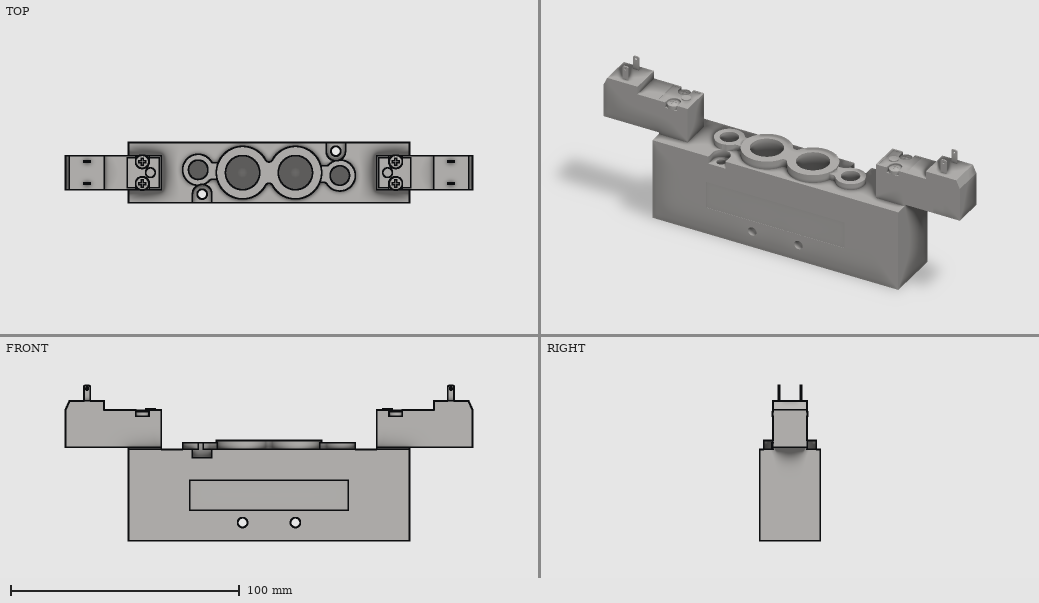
import cadquery as cq
import math

housing_length = 123.0
housing_width = 26.5
housing_height = 40.0

seat_height = 0.9

main_port_x = 11.55
main_rim_dia = 23.0
main_bore_dia = 15.0
main_rim_height = 4.0
main_waist_radius = 1.65
pilot_port_x = 31.0
pilot_port_y = 1.25
pilot_rim_dia = 13.6
pilot_bore_dia = 8.5
pilot_rim_height = 3.0
pilot_neck_width = 7.2
pilot_neck_y = 0.65
pilot_neck_fillet = 1.5
port_depth = 20.0

mount_x = 29.25
mount_y = 9.4
mount_hole_dia = 4.2
mount_counterbore_dia = 8.5
mount_counterbore_depth = 3.6

cross_hole_x = main_port_x
cross_hole_z = 8.0
cross_hole_dia = 4.2

panel_length = 69.2
panel_height = 13.2
panel_base_z = 13.4
panel_depth = 0.1

overall_length = 178.2
solenoid_length = 42.0
solenoid_width = 15.0
low_height = 16.4
tall_height = 20.3
tall_length = 17.0
bevel_length = 1.8
bevel_height = 3.9

land_margin = 1.0
land_length = 14.0
land_depth = 0.2

button_dia = 4.2
button_inset = 4.8
button_proud = 0.4
button_pocket_depth = 2.0

screw_inset = 8.4
screw_y = 4.8
screw_head_dia = 5.8
screw_rim_height = 1.8
screw_cone_height = 0.7
screw_recess_width = 6.0
screw_recess_offset = 0.1
screw_recess_depth = 2.7
cross_slot_length = 3.2
cross_slot_width = 0.8
cross_slot_depth = 0.5

overall_height = 67.99
blade_inset = 9.5
blade_y = 4.8
blade_width = 2.8
blade_thickness = 0.6
blade_corner_radius = 0.7
blade_hole_dia = 1.0
blade_hole_drop = 1.4

half_length = housing_length / 2
half_width = housing_width / 2
solenoid_base_z = housing_height + seat_height
low_top_z = solenoid_base_z + low_height
tall_top_z = solenoid_base_z + tall_height
solenoid_outer_x = -overall_length / 2
solenoid_inner_x = solenoid_outer_x + solenoid_length
land_floor_z = low_top_z - land_depth
button_floor_z = low_top_z - button_pocket_depth
screw_x = solenoid_inner_x - screw_inset
screw_floor_z = low_top_z - screw_recess_depth
clearance = 1.0


def box(x0, x1, y0, y1, z0, z1):
    """Box between two opposite corners."""
    return cq.Workplane("XY").box(x1 - x0, y1 - y0, z1 - z0, centered=False).translate((x0, y0, z0))


def cylinder(x, y, dia, z0, z1):
    """Upright cylinder between two heights."""
    return cq.Workplane("XY", origin=(x, y, z0)).circle(dia / 2).extrude(z1 - z0)


def cross_cylinder(x, z, dia, width):
    """Cylinder along Y, centred on the XZ plane."""
    return cq.Workplane("XZ").center(x, z).circle(dia / 2).extrude(width / 2, both=True)


def turned(body):
    """The same body turned half a turn about the Z axis."""
    return body.rotate((0, 0, 0), (0, 0, 1), 180)



def main_rims():
    """Two rims joined by a neck whose waist is an arc tangent to both of them."""
    top_z = housing_height + main_rim_height
    rim_radius = main_rim_dia / 2
    centre_distance = rim_radius + main_waist_radius
    waist_y = math.sqrt(centre_distance**2 - main_port_x**2)
    tangent_x = main_port_x * main_waist_radius / centre_distance
    tangent_y = waist_y * rim_radius / centre_distance
    rims = box(-tangent_x, tangent_x, -tangent_y, tangent_y, housing_height, top_z)
    for side in (-1, 1):
        rims = rims.cut(cylinder(0, side * waist_y, 2 * main_waist_radius, housing_height, top_z))
    for side in (-1, 1):
        rims = rims.union(cylinder(side * main_port_x, 0, main_rim_dia, housing_height, top_z))
    return rims


def pilot_rim():
    """Rim of the -X pilot port, with the neck that runs to the main rim."""
    top_z = housing_height + pilot_rim_height
    rim = cylinder(-pilot_port_x, pilot_port_y, pilot_rim_dia, housing_height, top_z)
    neck_y0 = pilot_neck_y - pilot_neck_width / 2
    neck = box(-pilot_port_x, -main_port_x, neck_y0, neck_y0 + pilot_neck_width, housing_height, top_z)
    neck_corners = cq.selectors.BoxSelector(
        (-pilot_port_x + clearance, -half_width, housing_height - clearance),
        (-main_port_x - clearance, half_width, top_z + clearance),
    )
    return rim.union(neck).edges("|Z").edges(neck_corners).fillet(pilot_neck_fillet)


def mount_cut():
    """Mounting hole of the -X, -Y corner with its side-open counterbore."""
    top_z = housing_height + main_rim_height
    floor_z = housing_height - mount_counterbore_depth
    radius = mount_counterbore_dia / 2
    hole = cylinder(-mount_x, -mount_y, mount_hole_dia, 0, top_z)
    counterbore = cylinder(-mount_x, -mount_y, mount_counterbore_dia, floor_z, top_z)
    opening = box(-mount_x - radius, -mount_x + radius, -half_width - clearance, -mount_y, floor_z, top_z)
    return hole.union(counterbore).union(opening)


def port_bores():
    """Main and pilot port bores of the -X half."""
    floor_z = housing_height - port_depth
    top_z = housing_height + main_rim_height
    main_bore = cylinder(-main_port_x, 0, main_bore_dia, floor_z, top_z)
    pilot_bore = cylinder(-pilot_port_x, pilot_port_y, pilot_bore_dia, floor_z, top_z)
    return main_bore.union(pilot_bore)


def panel_cut():
    """Nameplate panel in the -Y side."""
    half_panel = panel_length / 2
    panel_top_z = panel_base_z + panel_height
    return box(-half_panel, half_panel, -half_width, -half_width + panel_depth, panel_base_z, panel_top_z)


def make_housing():
    body = box(-half_length, half_length, -half_width, half_width, 0, housing_height)
    half_seat = solenoid_width / 2
    seat = box(-half_length, solenoid_inner_x, -half_seat, half_seat, housing_height, solenoid_base_z)
    body = body.union(main_rims())
    for feature in (seat, pilot_rim()):
        body = body.union(feature).union(turned(feature))
    cross_hole = cross_cylinder(-cross_hole_x, cross_hole_z, cross_hole_dia, housing_width)
    for cut in (mount_cut(), port_bores(), cross_hole, panel_cut()):
        body = body.cut(cut).cut(turned(cut))
    return body



def solenoid_block():
    step_x = solenoid_outer_x + tall_length
    profile = (
        cq.Workplane("XZ")
        .moveTo(solenoid_outer_x, solenoid_base_z)
        .lineTo(solenoid_inner_x, solenoid_base_z)
        .lineTo(solenoid_inner_x, low_top_z)
        .lineTo(step_x, low_top_z)
        .lineTo(step_x, tall_top_z)
        .lineTo(solenoid_outer_x + bevel_length, tall_top_z)
        .lineTo(solenoid_outer_x, tall_top_z - bevel_height)
        .close()
    )
    return profile.extrude(solenoid_width / 2, both=True)


def land_cut():
    x1 = solenoid_inner_x - land_margin
    half_land = solenoid_width / 2 - land_margin
    return box(x1 - land_length, x1, -half_land, half_land, land_floor_z, low_top_z)


def screw_recess(side):
    """Round recess for a screw head, opened out through the solenoid side."""
    x = screw_x + screw_recess_offset
    y = side * screw_y
    radius = screw_recess_width / 2
    outside_y = side * (solenoid_width / 2 + clearance)
    opening = box(x - radius, x + radius, min(y, outside_y), max(y, outside_y), screw_floor_z, low_top_z)
    return cylinder(x, y, screw_recess_width, screw_floor_z, low_top_z).union(opening)


def screw_head(side):
    """Cone-topped screw head with a cross slot."""
    radius = screw_head_dia / 2
    top_z = screw_rim_height + screw_cone_height
    half_profile = (
        cq.Workplane("XZ")
        .lineTo(radius, 0)
        .lineTo(radius, screw_rim_height)
        .lineTo(0, top_z)
        .close()
    )
    head = half_profile.revolve(360, (0, 0), (0, 1))
    half_long = cross_slot_length / 2
    half_wide = cross_slot_width / 2
    for half_x, half_y in ((half_long, half_wide), (half_wide, half_long)):
        head = head.cut(box(-half_x, half_x, -half_y, half_y, top_z - cross_slot_depth, top_z))
    return head.translate((screw_x, side * screw_y, screw_floor_z))


def blade(side):
    """Flat connector blade with rounded top corners and a cross hole near its tip."""
    x = solenoid_outer_x + blade_inset
    y = side * blade_y
    half_blade = blade_width / 2
    half_thick = blade_thickness / 2
    body = box(x - half_blade, x + half_blade, y - half_thick, y + half_thick, tall_top_z, overall_height)
    body = body.edges("|Y and >Z").fillet(blade_corner_radius)
    return body.cut(cross_cylinder(x, overall_height - blade_hole_drop, blade_hole_dia, solenoid_width))


def button_cylinder(top_z):
    return cylinder(solenoid_inner_x - button_inset, 0, button_dia, button_floor_z, top_z)


def make_solenoid():
    body = solenoid_block().cut(land_cut())
    for side in (-1, 1):
        body = body.cut(screw_recess(side)).union(screw_head(side)).union(blade(side))
    return body.cut(button_cylinder(low_top_z))



def make_button():
    return button_cylinder(low_top_z + button_proud)



bodies = [make_housing().val()]
for make_body in (make_solenoid, make_button):
    body_at_minus_x = make_body()
    bodies.append(body_at_minus_x.val())
    bodies.append(turned(body_at_minus_x).val())

result = cq.Compound.makeCompound(bodies)